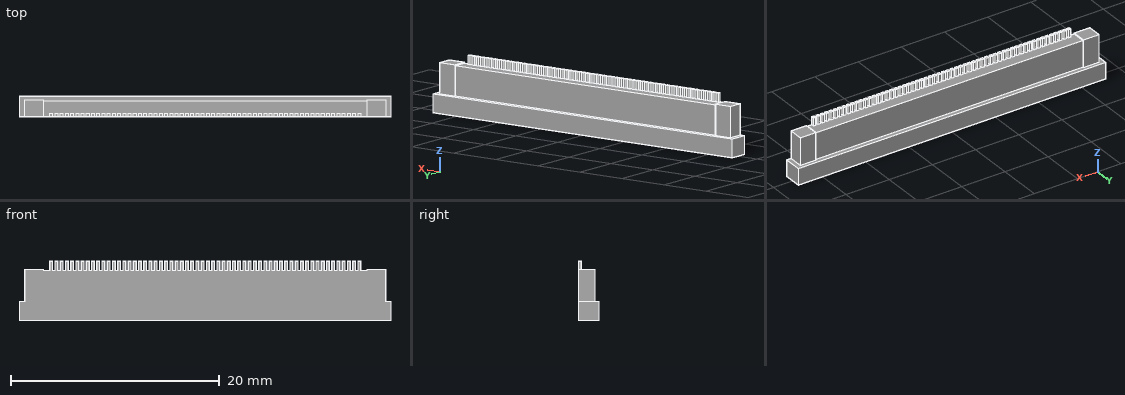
import cadquery as cq

length = 35.6
depth = 2.0
base_height = 1.85

end_step = 0.5
back_step = 0.4
wall_length = length - 2 * end_step
wall_depth = depth - back_step

block_length = 1.8
block_top = 4.9
wall_relief = 0.1
wall_top = block_top - wall_relief
middle_length = wall_length - 2 * block_length
middle_depth = wall_depth - wall_relief

overall_height = 5.7
pin_count = 60
pin_row_span = 29.5
pin_pitch = pin_row_span / (pin_count - 1)
pin_width = 0.292
pin_depth = 0.3


def front_flush_box(size_x, size_y, bottom, top, center_x=0):
    """Box with its front face on Y = 0, reaching back towards +Y."""
    return (
        cq.Workplane("XY")
        .box(size_x, size_y, top - bottom, centered=(True, False, False))
        .translate((center_x, 0, bottom))
    )


base = front_flush_box(length, depth, 0, base_height)
middle_wall = front_flush_box(middle_length, middle_depth, base_height, wall_top)
body = base.union(middle_wall)

for side in (-1, 1):
    block_x = side * (wall_length - block_length) / 2
    body = body.union(front_flush_box(block_length, wall_depth, base_height, block_top, block_x))

pin_centers = [(i * pin_pitch - pin_row_span / 2, pin_depth / 2) for i in range(pin_count)]
pins = (
    cq.Workplane("XY", origin=(0, 0, wall_top))
    .pushPoints(pin_centers)
    .rect(pin_width, pin_depth)
    .extrude(overall_height - wall_top)
)

result = body.union(pins)